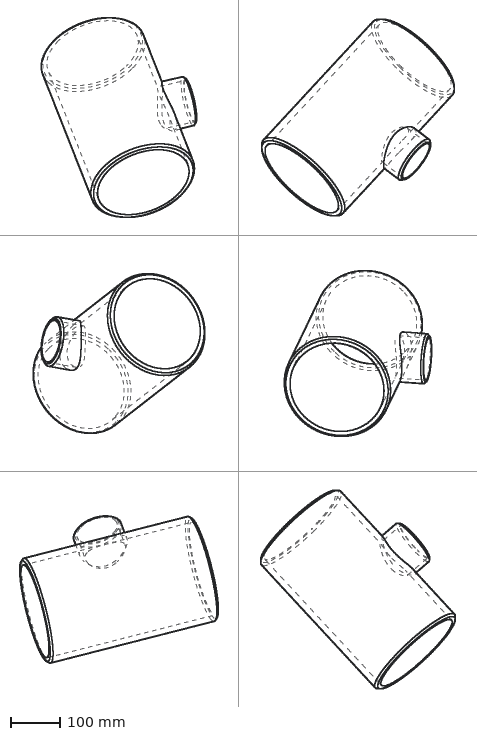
import cadquery as cq

run_length = 355.5
run_diameter = 219.0
run_bore = 193.5
run_bevel_length = 4.5
run_bevel_depth = 4.3

branch_reach = 152.5
branch_diameter = 101.7
branch_wall = 8.2
branch_bevel_length = 4.3
branch_bevel_depth = 4.3
branch_bore = branch_diameter - 2 * branch_wall


def run_body():
    """Solid run revolved about X, with a bevel around both ends."""
    half_length = run_length / 2
    radius = run_diameter / 2
    end_radius = radius - run_bevel_depth
    shoulder = half_length - run_bevel_length
    return (
        cq.Workplane("XY")
        .moveTo(-half_length, 0)
        .lineTo(-half_length, end_radius)
        .lineTo(-shoulder, radius)
        .lineTo(shoulder, radius)
        .lineTo(half_length, end_radius)
        .lineTo(half_length, 0)
        .close()
        .revolve(360, (0, 0, 0), (1, 0, 0))
    )


def branch_body():
    """Solid branch revolved about Y, with a bevel around its open end."""
    radius = branch_diameter / 2
    return (
        cq.Workplane("XY")
        .lineTo(radius, 0)
        .lineTo(radius, branch_reach - branch_bevel_length)
        .lineTo(radius - branch_bevel_depth, branch_reach)
        .lineTo(0, branch_reach)
        .close()
        .revolve(360, (0, 0, 0), (0, 1, 0))
    )


def run_bore_cutter():
    return cq.Workplane("YZ").circle(run_bore / 2).extrude(run_length / 2, both=True)


def branch_bore_cutter():
    """Bore from the run axis out through the branch end."""
    return cq.Workplane("XZ").circle(branch_bore / 2).extrude(-branch_reach)


result = run_body().union(branch_body()).cut(run_bore_cutter()).cut(branch_bore_cutter())